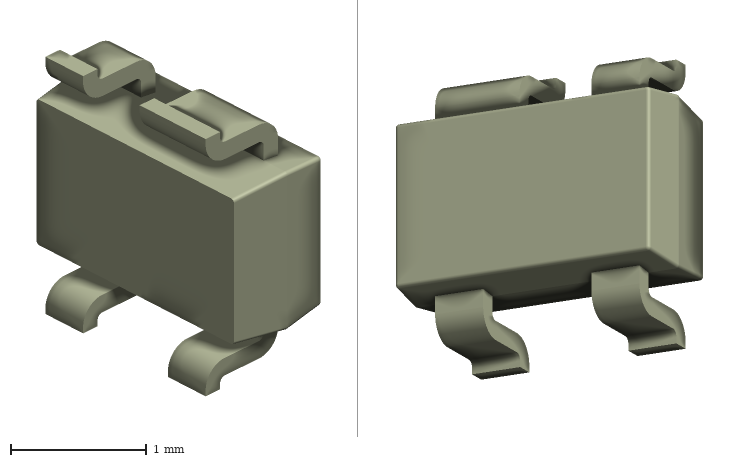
import cadquery as cq
import math

body_length = 2.2
body_height = 1.35
seating_gap = 0.1
front_depth = 0.5
back_depth = 0.4
draft_angle = 6.0
edge_radius = 0.03

lead_thickness = 0.15
lead_span = 2.2
foot_step = 0.1
inner_bend = 0.05
outer_bend = inner_bend + lead_thickness
lead_root = 0.4

narrow_lead = 0.4
wide_lead = 0.7
row_half_length = 0.85

parting_y = seating_gap + front_depth


def body_half(depth, direction):
    """Drafted half of the body, from the parting plane along +Y or -Y."""
    plane = cq.Plane(origin=(0, parting_y, 0), xDir=(1, 0, 0), normal=(0, direction, 0))
    return cq.Workplane(plane).rect(body_length, body_height).extrude(depth, taper=draft_angle)


def make_body():
    """Both halves joined, with every edge rounded except the rim of the front face."""
    body = body_half(front_depth, -1).union(body_half(back_depth, 1))
    front_rim = cq.selectors.BoxSelector(
        (-body_length, seating_gap - edge_radius, -body_height),
        (body_length, seating_gap + edge_radius, body_height),
    )
    return body.edges(cq.selectors.InverseSelector(front_rim)).fillet(edge_radius)


def make_lead(x_start, width, side):
    """Lead of the upper (side = 1) or lower (side = -1) row, extruded along +X."""
    tip_z = lead_span / 2
    outer_z = tip_z - foot_step
    inner_z = outer_z - lead_thickness
    leg_inner_y = parting_y
    leg_outer_y = parting_y + lead_thickness
    diagonal = math.sqrt(0.5)

    leg_bend_y = leg_inner_y - inner_bend
    leg_bend_z = inner_z - inner_bend
    foot_bend_y = outer_bend
    foot_bend_z = outer_z + inner_bend

    def point(y, z):
        return (y, side * z)

    def leg_arc(radius):
        return point(leg_bend_y + radius * diagonal, leg_bend_z + radius * diagonal)

    def foot_arc(radius):
        return point(foot_bend_y - radius * diagonal, foot_bend_z - radius * diagonal)

    profile = (
        cq.Workplane("YZ", origin=(x_start, 0, 0))
        .moveTo(*point(leg_outer_y, lead_root))
        .lineTo(*point(leg_outer_y, leg_bend_z))
        .threePointArc(leg_arc(outer_bend), point(leg_bend_y, outer_z))
        .lineTo(*point(foot_bend_y, outer_z))
        .threePointArc(foot_arc(inner_bend), point(lead_thickness, foot_bend_z))
        .lineTo(*point(lead_thickness, tip_z))
        .lineTo(*point(0, tip_z))
        .lineTo(*point(0, foot_bend_z))
        .threePointArc(foot_arc(outer_bend), point(foot_bend_y, inner_z))
        .lineTo(*point(leg_bend_y, inner_z))
        .threePointArc(leg_arc(inner_bend), point(leg_inner_y, leg_bend_z))
        .lineTo(*point(leg_inner_y, lead_root))
        .close()
    )
    return profile.extrude(width)


result = make_body()
for row_side, right_lead_width in ((1, wide_lead), (-1, narrow_lead)):
    left_lead = make_lead(-row_half_length, narrow_lead, row_side)
    right_lead = make_lead(row_half_length - right_lead_width, right_lead_width, row_side)
    result = result.union(left_lead).union(right_lead)